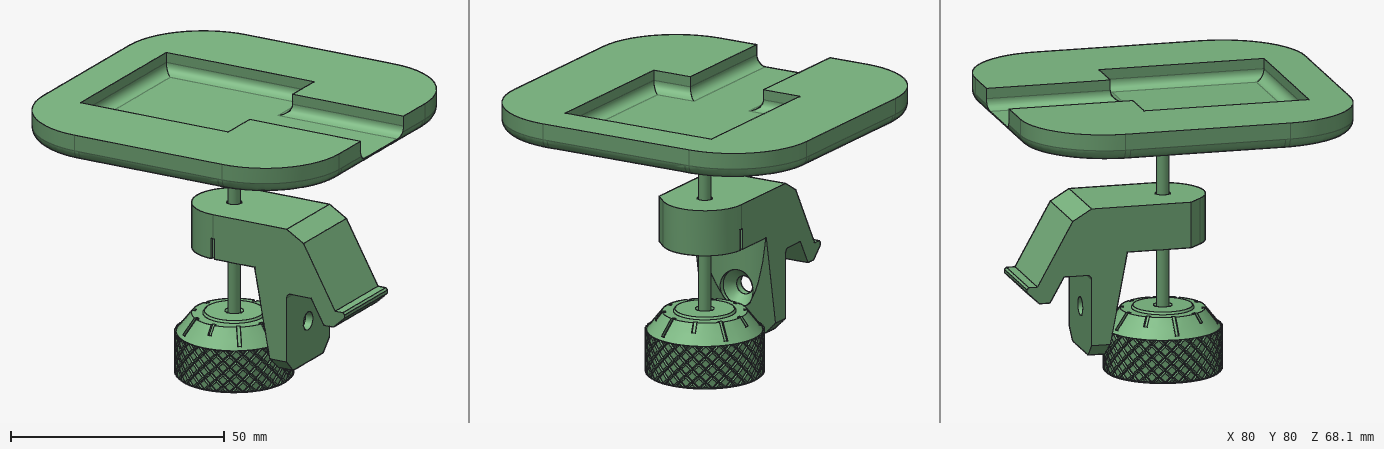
import cadquery as cq
import math

TOTAL_HEIGHT = 68.1

PLATE_SIDE = 80.0
PLATE_CORNER_RADIUS = 20.0
RIM_HEIGHT = 6.0
DOME_HEIGHT = 5.0
DOME_FLAT_SIDE = 16.8
DOME_FLAT_CORNER_RADIUS = 8.0
RIM_FILLET = 2.5
POCKET_SIDE = 40.0
POCKET_CENTER_X = -10.0
CHANNEL_WIDTH = 20.0
POCKET_DEPTH = 5.0
POCKET_FLOOR_FILLET = 2.5

SHANK_DIAMETER = 3.0
HEAD_DIAMETER = 6.0
HEAD_PROTRUSION = 0.5

KNOB_RADIUS = 14.0
GRIP_HEIGHT = 10.5
KNURL_COUNT = 28
KNURL_DEPTH = 0.3
KNURL_WIDTH = 0.9
KNOB_CHAMFER = 0.5
CONE_HEIGHT = 4.6
CONE_INSET = 0.1
CONE_TOP_RADIUS = 10.0
DISC_HEIGHT = 0.6
DISC_TOP_DIAMETER = 14.0
DISC_BASE_RADIUS = 7.4
KNOB_BORE = 3.3
KNOB_BORE_MOUTH = 4.4
MARK_COUNT = 10
MARK_WIDTH = 0.9
MARK_DEPTH = 0.6
SHORT_MARK_DROP = 2.0
LONG_MARK_DROP = 3.8

CLAMP_WIDTH = 20.0
CLAMP_BOTTOM_Z = 31.5
CLAMP_TOP_Z = 42.6
CLAMP_BORE = 3.5
FOOT_BACK_X = 20.0
FOOT_BOTTOM_Z = 6.5
FOOT_TOP_FRONT_X = 11.3
FOOT_BOTTOM_FRONT_X = 16.0
FOOT_CORNER_CHAMFER = 3.0
KNOB_CLEARANCE_DIAMETER = 30.0
CROTCH_Z = 26.6
CROTCH_FILLET = 1.1
SCREW_HOLE_Z = 16.6
SCREW_HOLE_DIAMETER = 4.4
COUNTERSINK_DIAMETER = 9.0
SCREW_HOLE_LAND = 2.0
INDEX_HEIGHT = 5.0

PLATE_RIM_Z = TOTAL_HEIGHT - RIM_HEIGHT
PLATE_BOTTOM_Z = PLATE_RIM_Z - DOME_HEIGHT
HEAD_CONE_HEIGHT = (HEAD_DIAMETER - SHANK_DIAMETER) / 2
HEAD_START_Z = PLATE_BOTTOM_Z - HEAD_PROTRUSION
HEAD_TOP_Z = HEAD_START_Z + HEAD_CONE_HEIGHT
CONE_BASE_RADIUS = KNOB_RADIUS - KNURL_DEPTH - CONE_INSET
CONE_TOP_Z = GRIP_HEIGHT + CONE_HEIGHT
KNOB_TOP_Z = CONE_TOP_Z + DISC_HEIGHT


def polar(radius, angle):
    """Point at an angle in degrees on a circle about the origin."""
    return radius * math.cos(math.radians(angle)), radius * math.sin(math.radians(angle))


def make_screw():
    shank_radius = SHANK_DIAMETER / 2
    return (
        cq.Workplane("XZ")
        .moveTo(0, 0)
        .lineTo(shank_radius, 0)
        .lineTo(shank_radius, HEAD_START_Z)
        .lineTo(HEAD_DIAMETER / 2, HEAD_TOP_Z)
        .lineTo(0, HEAD_TOP_Z)
        .close()
        .revolve(360, (0, 0, 0), (0, 1, 0))
    )


def rounded_square_wire(side, corner_radius, z):
    square = cq.Workplane("XY").rect(side, side).extrude(0.8).edges("|Z").fillet(corner_radius)
    return square.faces("<Z").wires().val().translate((0, 0, z))


def make_plate_blank():
    rim_wire = rounded_square_wire(PLATE_SIDE, PLATE_CORNER_RADIUS, PLATE_RIM_Z)
    flat_wire = rounded_square_wire(DOME_FLAT_SIDE, DOME_FLAT_CORNER_RADIUS, PLATE_BOTTOM_Z)
    rim = cq.Workplane(cq.Solid.extrudeLinear(rim_wire, [], cq.Vector(0, 0, RIM_HEIGHT)))
    dome = cq.Workplane(cq.Solid.makeLoft([rim_wire, flat_wire], True))
    return rim.union(dome)


def make_pocket():
    """Square pocket with a channel that leaves through the +X side, rounded along the floor."""
    floor_z = TOTAL_HEIGHT - POCKET_DEPTH
    half = POCKET_SIDE / 2
    pocket_right = POCKET_CENTER_X + half
    channel_end = PLATE_SIDE
    square = cq.Workplane("XY", origin=(POCKET_CENTER_X, 0, floor_z)).rect(POCKET_SIDE, POCKET_SIDE)
    channel = cq.Workplane("XY", origin=((channel_end + pocket_right) / 2 - half / 2, 0, floor_z)).rect(
        channel_end - pocket_right + half, CHANNEL_WIDTH
    )
    pocket = square.extrude(POCKET_DEPTH).union(channel.extrude(POCKET_DEPTH))
    return pocket.faces("<Z").edges().fillet(POCKET_FLOOR_FILLET)


def make_plate(screw):
    rim_edges = cq.selectors.BoxSelector(
        (-PLATE_SIDE, -PLATE_SIDE, PLATE_RIM_Z - 0.1), (PLATE_SIDE, PLATE_SIDE, PLATE_RIM_Z + 0.1)
    )
    return make_plate_blank().edges(rim_edges).fillet(RIM_FILLET).cut(make_pocket()).cut(screw)


def make_ring():
    """Round end of the clamp, with a 45 degree tangent flat on the +Y side."""
    radius = CLAMP_WIDTH / 2
    tangent_x, tangent_y = polar(radius, 135)
    peak_x = tangent_x + (radius - tangent_y)
    return (
        cq.Workplane("XY", origin=(0, 0, CLAMP_BOTTOM_Z))
        .moveTo(0, -radius)
        .threePointArc(polar(radius, 202.5), (tangent_x, tangent_y))
        .lineTo(peak_x, radius)
        .lineTo(radius, radius)
        .lineTo(radius, -radius)
        .close()
        .extrude(CLAMP_TOP_Z - CLAMP_BOTTOM_Z)
    )


def make_hook_arm():
    profile = [
        (0, CLAMP_TOP_Z),
        (FOOT_BACK_X, CLAMP_TOP_Z),
        (24.6, 39.8),
        (33.1, 24.6),
        (35.2, 24.6),
        (35.7, 24.1),
        (35.7, 23.3),
        (32.6, 20.5),
        (30.1, 20.5),
        (26.6, CROTCH_Z),
        (FOOT_BACK_X, CROTCH_Z),
        (FOOT_BACK_X, FOOT_BOTTOM_Z),
        (FOOT_BOTTOM_FRONT_X, FOOT_BOTTOM_Z),
        (FOOT_TOP_FRONT_X, CLAMP_BOTTOM_Z),
        (0, CLAMP_BOTTOM_Z),
    ]
    crotch = cq.selectors.NearestToPointSelector((FOOT_BACK_X, 0, CROTCH_Z))
    arm = (
        cq.Workplane("XZ").polyline(profile).close().extrude(CLAMP_WIDTH / 2, both=True)
        .edges(crotch).fillet(CROTCH_FILLET)
    )
    return arm.faces("<Z").edges("|X").chamfer(FOOT_CORNER_CHAMFER)


def make_knob_clearance():
    return cq.Workplane("XY").circle(KNOB_CLEARANCE_DIAMETER / 2).extrude(CLAMP_BOTTOM_Z)


def make_fixing_hole():
    """Countersunk hole along X through the foot."""
    hole_radius = SCREW_HOLE_DIAMETER / 2
    sink_radius = COUNTERSINK_DIAMETER / 2
    land_x = FOOT_BACK_X - SCREW_HOLE_LAND
    seat_x = land_x - (sink_radius - hole_radius)
    return (
        cq.Workplane("XY", origin=(0, 0, SCREW_HOLE_Z))
        .moveTo(0, 0)
        .lineTo(0, sink_radius)
        .lineTo(seat_x, sink_radius)
        .lineTo(land_x, hole_radius)
        .lineTo(FOOT_BACK_X, hole_radius)
        .lineTo(FOOT_BACK_X, 0)
        .close()
        .revolve(360, (0, 0, 0), (1, 0, 0))
    )


def make_index_notch():
    return (
        cq.Workplane("XY", origin=(0, -CLAMP_WIDTH / 2, CLAMP_BOTTOM_Z))
        .rect(MARK_WIDTH, 2 * MARK_DEPTH)
        .extrude(INDEX_HEIGHT)
    )


def make_clamp():
    bore = cq.Workplane("XY").circle(CLAMP_BORE / 2).extrude(CLAMP_TOP_Z)
    return (
        make_ring()
        .union(make_hook_arm())
        .cut(make_knob_clearance())
        .cut(make_fixing_hole())
        .cut(make_index_notch())
        .cut(bore)
    )


def make_plain_grip():
    """Chamfered cylinder around the bore."""
    bore_radius = KNOB_BORE / 2
    return (
        cq.Workplane("XZ")
        .moveTo(bore_radius, 0)
        .lineTo(KNOB_RADIUS - KNOB_CHAMFER, 0)
        .lineTo(KNOB_RADIUS, KNOB_CHAMFER)
        .lineTo(KNOB_RADIUS, GRIP_HEIGHT)
        .lineTo(bore_radius, GRIP_HEIGHT)
        .close()
        .revolve(360, (0, 0, 0), (0, 1, 0))
    )


def make_plain_cap():
    """Cone and raised disc above the grip, with a chamfered bore mouth."""
    bore_radius = KNOB_BORE / 2
    mouth_radius = KNOB_BORE_MOUTH / 2
    return (
        cq.Workplane("XZ")
        .moveTo(bore_radius, GRIP_HEIGHT)
        .lineTo(CONE_BASE_RADIUS, GRIP_HEIGHT)
        .lineTo(CONE_TOP_RADIUS, CONE_TOP_Z)
        .lineTo(DISC_BASE_RADIUS, CONE_TOP_Z)
        .lineTo(DISC_TOP_DIAMETER / 2, KNOB_TOP_Z)
        .lineTo(mouth_radius, KNOB_TOP_Z)
        .lineTo(bore_radius, KNOB_TOP_Z - (mouth_radius - bore_radius))
        .close()
        .revolve(360, (0, 0, 0), (0, 1, 0))
    )


def twist_up(outline, direction):
    """Extrude an outline over the grip height along a 45 degree helix at the knob radius."""
    return outline.close().twistExtrude(GRIP_HEIGHT, direction * math.degrees(GRIP_HEIGHT / KNOB_RADIUS))


def make_knurled_grip():
    """Cross two sets of helical V grooves over the grip.

    One sector between neighbouring grooves is shaped, then its outer skin is repeated
    round the axis and closed into a solid. The helical walls between sectors are left out.
    """
    pitch = 360 / KNURL_COUNT
    valley_radius = KNOB_RADIUS - KNURL_DEPTH
    half_pitch_length = math.pi * KNOB_RADIUS / KNURL_COUNT
    crest_radius = valley_radius + KNURL_DEPTH * half_pitch_length / (KNURL_WIDTH / 2)

    star = cq.Workplane("XY").moveTo(valley_radius, 0)
    for i in range(KNURL_COUNT):
        star = star.lineTo(*polar(crest_radius, (i + 0.5) * pitch))
        if i < KNURL_COUNT - 1:
            star = star.lineTo(*polar(valley_radius, (i + 1) * pitch))
    left_hand_grooves = twist_up(star, -1)

    wedge = (
        cq.Workplane("XY")
        .lineTo(valley_radius, 0)
        .lineTo(*polar(crest_radius, pitch / 2))
        .lineTo(*polar(valley_radius, pitch))
    )
    sector = twist_up(wedge, 1).intersect(make_plain_grip()).intersect(left_hand_grooves)

    skin = []
    for face in sector.faces().vals():
        center = face.Center()
        is_sector_wall = face.geomType() == "BSPLINE" and math.hypot(center.x, center.y) < valley_radius
        if not is_sector_wall:
            skin.append(face)

    axis_start, axis_end = (0, 0, 0), (0, 0, 1)
    all_faces = []
    for i in range(KNURL_COUNT):
        all_faces += [face.rotate(axis_start, axis_end, i * pitch) for face in skin]
    return cq.Workplane(cq.Solid.makeSolid(cq.Shell.makeShell(all_faces)).clean())


def make_mark_cutter(drop, angle):
    """Bar sunk into the cone, running down from its top edge to the given drop."""
    run = CONE_BASE_RADIUS - CONE_TOP_RADIUS
    slant = math.hypot(run, CONE_HEIGHT)
    length = drop * slant / CONE_HEIGHT
    down_the_cone = cq.Vector(run / slant, 0, -CONE_HEIGHT / slant)
    out_of_the_cone = cq.Vector(CONE_HEIGHT / slant, 0, run / slant)
    cone_plane = cq.Plane((CONE_TOP_RADIUS, 0, CONE_TOP_Z), down_the_cone, out_of_the_cone)
    return (
        cq.Workplane(cone_plane)
        .center((length - MARK_DEPTH) / 2, 0)
        .rect(length + MARK_DEPTH, MARK_WIDTH)
        .extrude(MARK_DEPTH, both=True)
        .rotate((0, 0, 0), (0, 0, 1), angle)
    )


def make_marked_cap():
    cap = make_plain_cap()
    for i in range(MARK_COUNT):
        drop = SHORT_MARK_DROP if i % 2 == 0 else LONG_MARK_DROP
        cap = cap.cut(make_mark_cutter(drop, i * 360 / MARK_COUNT - 90))
    return cap


def make_knob():
    return make_knurled_grip().union(make_marked_cap(), glue=True)


screw = make_screw()
plate = make_plate(screw)
clamp = make_clamp()
knob = make_knob()

result = cq.Compound.makeCompound([plate.val(), screw.val(), clamp.val(), knob.val()])